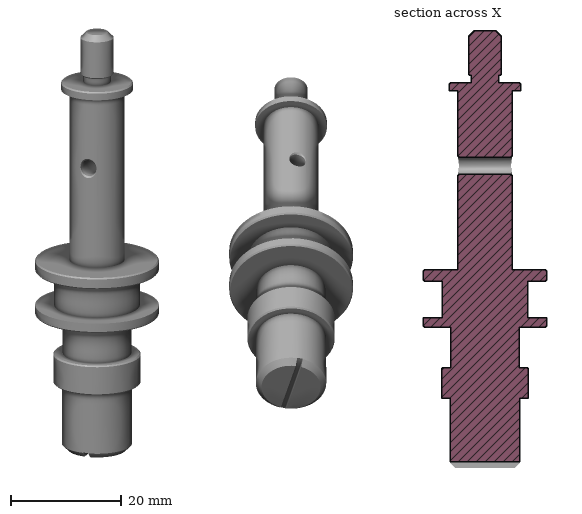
import cadquery as cq

thread_diameter = 6.0
neck_diameter = 5.0
stop_diameter = 13.0
shaft_diameter = 10.0
flange_diameter = 22.5
hub_diameter = 15.6
upper_body_diameter = 12.5
collar_diameter = 15.9
lower_body_diameter = 12.8
cross_hole_diameter = 3.0

total_height = 79.4
thread_bottom = 71.3
stop_top = 69.95
stop_thickness = 1.5
shaft_bottom = 36.05
upper_flange_thickness = 2.15
hub_length = 6.5
lower_flange_thickness = 1.8
collar_top = 18.3
collar_bottom = 12.6
cross_hole_height = 54.9

end_chamfer = 1.0
edge_chamfer = 0.2
hole_chamfer = 0.3
slot_width = 1.0
slot_depth = 1.1

stop_bottom = stop_top - stop_thickness
upper_flange_bottom = shaft_bottom - upper_flange_thickness
lower_flange_top = upper_flange_bottom - hub_length
lower_flange_bottom = lower_flange_top - lower_flange_thickness


def turned_section(diameter, bottom, top, bottom_chamfer=0, top_chamfer=0):
    """Cylinder on the Z axis between two heights, with optional end chamfers."""
    section = cq.Workplane("XY").workplane(offset=bottom).circle(diameter / 2).extrude(top - bottom)
    if bottom_chamfer:
        section = section.faces("<Z").chamfer(bottom_chamfer)
    if top_chamfer:
        section = section.faces(">Z").chamfer(top_chamfer)
    return section


def chamfered_disc(diameter, bottom, top):
    """Disc with both rims lightly chamfered."""
    return turned_section(diameter, bottom, top, edge_chamfer, edge_chamfer)


sections = [
    turned_section(lower_body_diameter, 0, collar_bottom, bottom_chamfer=end_chamfer),
    chamfered_disc(collar_diameter, collar_bottom, collar_top),
    turned_section(upper_body_diameter, collar_top, lower_flange_bottom),
    turned_section(flange_diameter, lower_flange_bottom, lower_flange_top, bottom_chamfer=edge_chamfer),
    turned_section(hub_diameter, lower_flange_top, upper_flange_bottom),
    chamfered_disc(flange_diameter, upper_flange_bottom, shaft_bottom),
    turned_section(shaft_diameter, shaft_bottom, stop_bottom),
    turned_section(stop_diameter, stop_bottom, stop_top, top_chamfer=edge_chamfer),
    turned_section(neck_diameter, stop_top, thread_bottom),
    turned_section(thread_diameter, thread_bottom, total_height, edge_chamfer, end_chamfer),
]
body = sections[0]
for section in sections[1:]:
    body = body.union(section)

cross_hole = (
    cq.Workplane("XZ")
    .center(0, cross_hole_height)
    .circle(cross_hole_diameter / 2)
    .extrude(shaft_diameter, both=True)
)

def cross_hole_rim(side):
    """Cone widening outward to the shaft surface, on the +Y (1) or -Y (-1) side."""
    outer_radius = cross_hole_diameter / 2 + hole_chamfer
    rim = cq.Solid.makeCone(
        outer_radius,
        0,
        outer_radius,
        pnt=cq.Vector(0, side * shaft_diameter / 2, cross_hole_height),
        dir=cq.Vector(0, -side, 0),
    )
    return cq.Workplane(obj=rim)


driver_slot = cq.Workplane("XY").box(
    slot_width, lower_body_diameter, slot_depth, centered=(True, True, False)
)

result = body.cut(cross_hole).cut(cross_hole_rim(1)).cut(cross_hole_rim(-1)).cut(driver_slot)